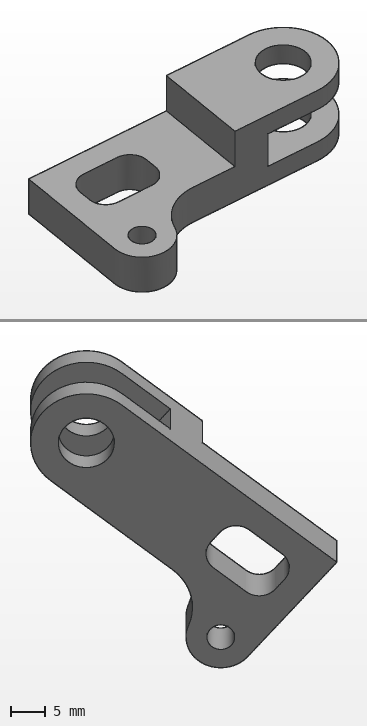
import cadquery as cq
import math

length = 48.0
arm_width = 16.0
overall_width = 25.0
overall_height = 13.0
plate_height = 6.5
step_y = 25.0
fork_slot_y = 31.0
prong_thickness = 3.5
pin_hole_diameter = 8.0
ear_radius = 5.0
ear_hole_diameter = 4.0
ear_blend_radius = 8.0
window_width = 8.0
window_length = 12.0
window_center_y = 10.0
window_corner_radius = 3.0

end_radius = arm_width / 2
arm_center_x = arm_width / 2
pin_y = length - end_radius
ear_x = overall_width - ear_radius
ear_y = ear_radius

blend_x = arm_width + ear_blend_radius
center_distance = ear_radius + ear_blend_radius
blend_y = ear_y + math.sqrt(center_distance**2 - (blend_x - ear_x)**2)
blend_angle = math.atan2(blend_y - ear_y, blend_x - ear_x)


def point_on_arc(center_x, center_y, radius, angle):
    return (center_x + radius * math.cos(angle), center_y + radius * math.sin(angle))


def make_body():
    """Full-height plan outline: arm with a round end, and an ear at one side."""
    ear_middle = point_on_arc(ear_x, ear_y, ear_radius, (blend_angle - math.pi / 2) / 2)
    ear_end = point_on_arc(ear_x, ear_y, ear_radius, blend_angle)
    blend_middle_angle = (blend_angle + math.pi + math.pi) / 2
    blend_middle = point_on_arc(blend_x, blend_y, ear_blend_radius, blend_middle_angle)
    return (
        cq.Workplane("XY")
        .lineTo(ear_x, 0)
        .threePointArc(ear_middle, ear_end)
        .threePointArc(blend_middle, (arm_width, blend_y))
        .lineTo(arm_width, pin_y)
        .threePointArc((arm_center_x, length), (0, pin_y))
        .close()
        .extrude(overall_height)
    )


def make_block(y_start, y_end, z_start, z_end):
    """Cutting block across the whole width."""
    return cq.Workplane("XY").box(
        overall_width, y_end - y_start, z_end - z_start, centered=False
    ).translate((0, y_start, z_start))


def make_hole(x, y, diameter):
    return cq.Workplane("XY").center(x, y).circle(diameter / 2).extrude(overall_height)


def make_window():
    """Rounded rectangular opening through the plate."""
    return (
        cq.Workplane("XY")
        .center(arm_center_x, window_center_y)
        .rect(window_width, window_length)
        .extrude(overall_height)
        .edges("|Z")
        .fillet(window_corner_radius)
    )


step_cut = make_block(0, step_y, plate_height, overall_height)
fork_slot = make_block(fork_slot_y, length, prong_thickness, overall_height - prong_thickness)

result = (
    make_body()
    .cut(step_cut)
    .cut(fork_slot)
    .cut(make_hole(arm_center_x, pin_y, pin_hole_diameter))
    .cut(make_hole(ear_x, ear_y, ear_hole_diameter))
    .cut(make_window())
)